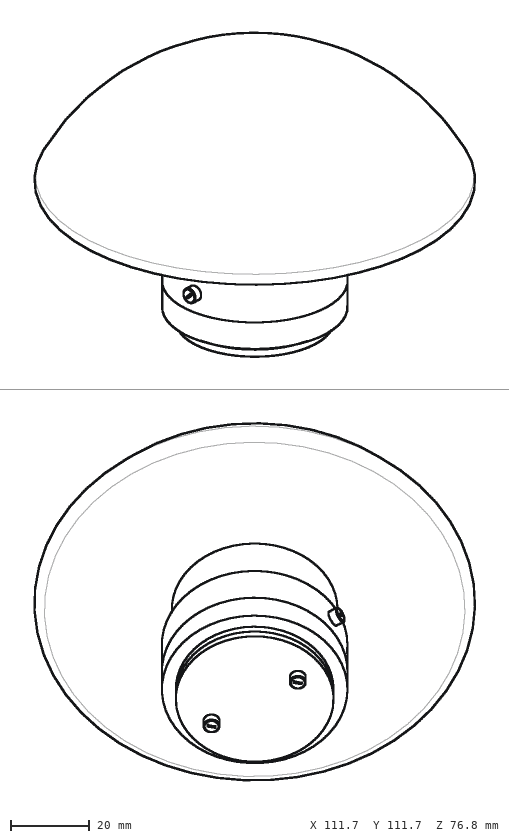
import cadquery as cq
import math

screw_diameter = 4.0
screw_length = 6.0
screw_protrusion = 2.3
screw_chamfer = 0.2
slot_length = 2.0
slot_width = 0.5
slot_depth = 0.6
slot_angle = 45
bottom_screw_offset = 13.0
side_screw_drop = 5.6

end_plate_diameter = 40.0
end_plate_height = 2.0
spigot_height = 2.0
collar_diameter = 47.0
lower_collar_height = 7.5
upper_collar_height = 11.2
neck_diameter = 42.0

dome_diameter = 111.7
dome_height = 37.0
rim_radius = 2.6
overall_height = 76.8

end_plate_bottom = screw_protrusion
spigot_bottom = end_plate_bottom + end_plate_height
lower_collar_bottom = spigot_bottom + spigot_height
upper_collar_bottom = lower_collar_bottom + lower_collar_height
neck_bottom = upper_collar_bottom + upper_collar_height
dome_bottom = overall_height - dome_height
side_screw_level = neck_bottom - side_screw_drop
side_screw_tip_y = -collar_diameter / 2 - screw_protrusion


def make_cylinder(diameter, bottom, top):
    """Upright cylinder on the Z axis between two levels."""
    return cq.Workplane("XY").workplane(offset=bottom).circle(diameter / 2).extrude(top - bottom)


def make_dome():
    """Spherical crown blended into a flat underside by a rounded rim, revolved about Z."""
    rim_center_x = dome_diameter / 2 - rim_radius
    rim_center_z = dome_bottom + rim_radius

    rim_to_top = dome_height - rim_radius
    crown_radius = (rim_center_x**2 + rim_to_top**2 - rim_radius**2) / (2 * (rim_to_top - rim_radius))
    crown_center_z = overall_height - crown_radius

    def crown_point(angle):
        return (crown_radius * math.cos(angle), crown_center_z + crown_radius * math.sin(angle))

    seam_angle = math.atan2(rim_center_z - crown_center_z, rim_center_x)
    top_angle = math.pi / 2
    return (
        cq.Workplane("XZ")
        .moveTo(0, dome_bottom)
        .lineTo(rim_center_x, dome_bottom)
        .threePointArc((dome_diameter / 2, rim_center_z), crown_point(seam_angle))
        .threePointArc(crown_point((seam_angle + top_angle) / 2), (0, overall_height))
        .close()
        .revolve(360, (0, 0), (0, 1))
    )


def make_screw_blank():
    """Plain screw cylinder rising from the origin; also the shape of a screw hole."""
    return make_cylinder(screw_diameter, 0, screw_length)


def make_screw():
    """Set screw with a chamfered, slotted tip at the origin, rising along Z."""
    slot = (
        cq.Workplane("XY")
        .box(slot_length, slot_width, slot_depth, centered=(True, True, False))
        .rotate((0, 0, 0), (0, 0, 1), -slot_angle)
    )
    return make_screw_blank().faces("<Z").chamfer(screw_chamfer).cut(slot)


def place_on_side(shape):
    """Turn an upright screw shape to point along +Y into the front of the upper collar."""
    return shape.rotate((0, 0, 0), (1, 0, 0), -90).translate((0, side_screw_tip_y, side_screw_level))


dome = make_dome()
neck = make_cylinder(neck_diameter, neck_bottom, dome_bottom)

upper_collar = make_cylinder(collar_diameter, upper_collar_bottom, neck_bottom)
upper_collar = upper_collar.cut(place_on_side(make_screw_blank()))
side_screw = place_on_side(make_screw())

lower_collar = make_cylinder(collar_diameter, lower_collar_bottom, upper_collar_bottom)
lower_collar = lower_collar.union(make_cylinder(end_plate_diameter, spigot_bottom, lower_collar_bottom))

end_plate = make_cylinder(end_plate_diameter, end_plate_bottom, spigot_bottom)
bottom_screws = []
for y in (-bottom_screw_offset, bottom_screw_offset):
    hole = make_screw_blank().translate((0, y, 0))
    end_plate = end_plate.cut(hole)
    lower_collar = lower_collar.cut(hole)
    bottom_screws.append(make_screw().translate((0, y, 0)))

bodies = [dome, neck, upper_collar, lower_collar, end_plate, side_screw, *bottom_screws]
result = cq.Compound.makeCompound([body.val() for body in bodies])